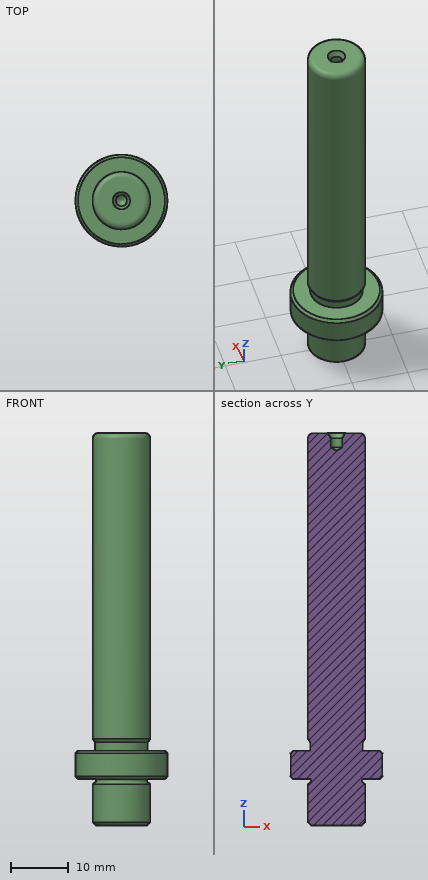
import cadquery as cq
import math

total_height = 68.0
pin_radius = 10.0 / 2
collar_radius = 16.0 / 2
neck_radius = 9.2 / 2

collar_bottom = 8.0
collar_top = 13.0
pin_bottom = 15.0

edge_chamfer = 0.5
spigot_lead_in = 0.6
pin_lower_chamfer_height = 0.6
pin_tip_fillet = 1.0

groove_radius = 4.4
groove_height = 0.9
groove_taper_height = 0.35

countersink_radius = 1.5
pilot_radius = 0.95
pilot_depth = 2.5
countersink_angle = 60.0
drill_point_angle = 120.0


def cone_height(large_radius, small_radius, included_angle):
    """Axial length of a cone between two radii."""
    return (large_radius - small_radius) / math.tan(math.radians(included_angle / 2))


def turned_body():
    """Revolved spigot, relief groove, collar, neck and pin."""
    spigot_top = collar_bottom - groove_height
    fillet_offset = pin_tip_fillet * math.sqrt(0.5)
    tip_arc_middle = (
        pin_radius - pin_tip_fillet + fillet_offset,
        total_height - pin_tip_fillet + fillet_offset,
    )
    groove_edge = spigot_top + groove_taper_height
    groove_arc_middle = (groove_radius, (groove_edge + collar_bottom) / 2)
    profile = (
        cq.Workplane("XZ")
        .lineTo(pin_radius - spigot_lead_in, 0)
        .lineTo(pin_radius, spigot_lead_in)
        .lineTo(pin_radius, spigot_top)
        .lineTo(neck_radius, groove_edge)
        .threePointArc(groove_arc_middle, (neck_radius, collar_bottom))
        .lineTo(collar_radius - edge_chamfer, collar_bottom)
        .lineTo(collar_radius, collar_bottom + edge_chamfer)
        .lineTo(collar_radius, collar_top - edge_chamfer)
        .lineTo(collar_radius - edge_chamfer, collar_top)
        .lineTo(neck_radius, collar_top)
        .lineTo(neck_radius, pin_bottom - pin_lower_chamfer_height)
        .lineTo(pin_radius, pin_bottom)
        .lineTo(pin_radius, total_height - pin_tip_fillet)
        .threePointArc(tip_arc_middle, (pin_radius - pin_tip_fillet, total_height))
        .lineTo(0, total_height)
        .close()
    )
    return profile.revolve(360, (0, 0, 0), (0, 1, 0))


def centre_drilling():
    """Conical countersink leading into a pilot hole with a drill point."""
    countersink_bottom = total_height - cone_height(countersink_radius, pilot_radius, countersink_angle)
    pilot_bottom = total_height - pilot_depth
    point_bottom = pilot_bottom - cone_height(pilot_radius, 0, drill_point_angle)
    profile = (
        cq.Workplane("XZ")
        .moveTo(0, total_height)
        .lineTo(countersink_radius, total_height)
        .lineTo(pilot_radius, countersink_bottom)
        .lineTo(pilot_radius, pilot_bottom)
        .lineTo(0, point_bottom)
        .close()
    )
    return profile.revolve(360, (0, 0, 0), (0, 1, 0))


result = turned_body().cut(centre_drilling())